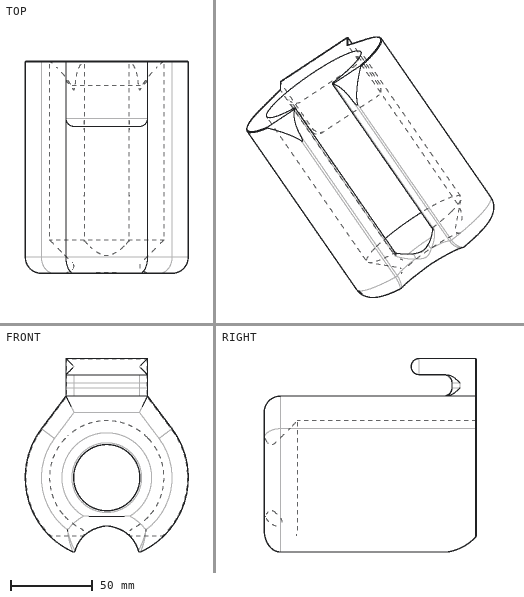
import cadquery as cq
import math

length = 130.0
body_radius = 50.0
flat_height = body_radius
flat_half_width = 25.0
front_round = 10.0
back_chamfer = 0.5

bore_radius = 35.0
cone_face_radius = 14.5
mouth_face_radius = 27.5
mouth_round = 10.0
mouth_lip_round = 3.0

channel_radius = 20.0
channel_axis_z = -body_radius
slot_edge_round = 3.0
tip_round = 1.0
heel_round = 30.0
heel_length = 22.5

hook_top = 73.0
hook_reach = 40.0
hook_thickness = 10.0
hook_round = 5.0
throat_floor = 15.0

margin = 20.0
near = 0.5


def flank_tangent_point():
    """Point where the straight flank from the flat's edge meets the round body."""
    edge_angle = math.atan2(flat_height, flat_half_width)
    edge_distance = math.hypot(flat_height, flat_half_width)
    angle = edge_angle - math.acos(body_radius / edge_distance)
    return body_radius * math.cos(angle), body_radius * math.sin(angle)


def revolve_along_y(sketch, axis_z):
    """Revolve a (radius, y) outline about a line parallel to Y at height axis_z."""
    return sketch.revolve(360, (0, 0, 0), (0, 1, 0)).translate((0, 0, axis_z))


def make_body():
    tangent_x, tangent_z = flank_tangent_point()
    body = (
        cq.Workplane("XZ")
        .moveTo(-flat_half_width, flat_height)
        .lineTo(flat_half_width, flat_height)
        .lineTo(tangent_x, tangent_z)
        .threePointArc((0, -body_radius), (-tangent_x, tangent_z))
        .close()
        .extrude(length)
    )
    return body.faces("<Y").edges().fillet(front_round)


def make_bore():
    """Bore, cone and mouth in one; a small lip joins the cone to the mouth's front round."""
    face_y = -length
    round_y = face_y + mouth_round
    cone_end_y = face_y + bore_radius - cone_face_radius

    centre_gap = mouth_round - mouth_lip_round
    cone_offset = (mouth_face_radius - mouth_round - cone_face_radius) * math.sqrt(0.5)
    touch_angle = math.pi / 4 + math.asin((cone_offset - mouth_lip_round) / centre_gap)
    cone_side_angle = 3 * math.pi / 4

    def round_point(centre, radius, angle):
        """Point on a round, with the angle measured from straight forward towards the axis."""
        return centre[0] - radius * math.sin(angle), centre[1] - radius * math.cos(angle)

    round_centre = (mouth_face_radius, round_y)
    lip_centre = round_point(round_centre, centre_gap, touch_angle)
    outline = (
        cq.Workplane("XY")
        .moveTo(0, face_y)
        .lineTo(mouth_face_radius, face_y)
        .threePointArc(
            round_point(round_centre, mouth_round, touch_angle / 2),
            round_point(round_centre, mouth_round, touch_angle),
        )
        .threePointArc(
            round_point(lip_centre, mouth_lip_round, (touch_angle + cone_side_angle) / 2),
            round_point(lip_centre, mouth_lip_round, cone_side_angle),
        )
        .lineTo(bore_radius, cone_end_y)
        .lineTo(bore_radius, 0)
        .lineTo(0, 0)
        .close()
    )
    return revolve_along_y(outline, 0)


def make_channel():
    face_radius = channel_radius + front_round
    diagonal = front_round * math.sqrt(0.5)
    outline = (
        cq.Workplane("XY")
        .moveTo(0, -length)
        .lineTo(face_radius, -length)
        .threePointArc(
            (face_radius - diagonal, -length + front_round - diagonal),
            (channel_radius, -length + front_round),
        )
        .lineTo(channel_radius, 0)
        .lineTo(0, 0)
        .close()
    )
    return revolve_along_y(outline, channel_axis_z)


def channel_crossing(radius):
    """Point (x, z) where the channel wall crosses a circle of the given radius about the bore axis."""
    z = (channel_radius**2 - radius**2 - channel_axis_z**2) / (-2 * channel_axis_z)
    return math.sqrt(radius**2 - z**2), z


def edges_at_crossing(radius):
    """Selector of both lengthwise edges at the channel's crossing with the given radius."""
    x, z = channel_crossing(radius)
    selectors = [
        cq.selectors.BoxSelector(
            (side * x - near, -length, z - near), (side * x + near, 0, z + near)
        )
        for side in (-1, 1)
    ]
    return selectors[0] + selectors[1]


def edge_at_slot_front():
    """Selector of the curved edge where the channel breaks into the bore's cone."""
    x, z = channel_crossing(bore_radius)
    channel_top = channel_axis_z + channel_radius
    front_y = -length - channel_top - cone_face_radius
    back_y = -length + bore_radius - cone_face_radius
    return cq.selectors.BoxSelector(
        (-x - near, front_y - near, z - near), (x + near, back_y + near, channel_top + near)
    )


def make_heel():
    """Waste outside a large round on the underside at the back end."""
    tip_z = channel_crossing(body_radius)[1]
    axis_z = tip_z + heel_round
    end_z = axis_z - math.sqrt(heel_round**2 - heel_length**2)
    half_angle = math.asin(heel_length / heel_round) / 2
    return (
        cq.Workplane("YZ")
        .moveTo(-heel_length, tip_z)
        .threePointArc(
            (
                heel_round * math.sin(half_angle) - heel_length,
                axis_z - heel_round * math.cos(half_angle),
            ),
            (0, end_z),
        )
        .lineTo(0, -body_radius - margin)
        .lineTo(-heel_length, -body_radius - margin)
        .close()
        .extrude(body_radius, both=True)
    )


def make_hook():
    hook_height = hook_top - flat_height
    block = (
        cq.Workplane("XY")
        .box(2 * flat_half_width, hook_reach, hook_height, centered=(True, False, False))
        .translate((0, -hook_reach, flat_height))
    )
    side_profile = (
        cq.Workplane("YZ")
        .moveTo(0, flat_height)
        .lineTo(0, hook_top)
        .lineTo(hook_round - hook_reach, hook_top)
        .threePointArc(
            (-hook_reach, hook_top - hook_round),
            (hook_round - hook_reach, hook_top - hook_thickness),
        )
        .lineTo(hook_round - hook_reach, flat_height)
        .close()
        .extrude(flat_half_width, both=True)
    )
    plan = block.edges("|Z and <Y").fillet(hook_round)
    return plan.intersect(side_profile).cut(make_throat())


def make_throat():
    """Hook opening: its back wall rounds off at both sides and is filleted above and below."""
    inner = flat_half_width - hook_round
    corner = hook_round * math.sqrt(0.5)
    arc_y = hook_round - throat_floor
    outer = flat_half_width + margin
    throat = (
        cq.Workplane("XY", origin=(0, 0, flat_height))
        .moveTo(-inner, -throat_floor)
        .lineTo(inner, -throat_floor)
        .threePointArc((inner + corner, arc_y - corner), (flat_half_width, arc_y))
        .lineTo(flat_half_width, 0)
        .lineTo(outer, 0)
        .lineTo(outer, -hook_reach - margin)
        .lineTo(-outer, -hook_reach - margin)
        .lineTo(-outer, 0)
        .lineTo(-flat_half_width, 0)
        .lineTo(-flat_half_width, arc_y)
        .threePointArc((-inner - corner, arc_y - corner), (-inner, -throat_floor))
        .close()
        .extrude(hook_top - hook_thickness - flat_height)
    )
    wall_box = cq.selectors.BoxSelector(
        (-flat_half_width - near, -throat_floor - near, flat_height - near),
        (flat_half_width + near, 0, hook_top),
    )
    return throat.edges(wall_box).edges("#Z").fillet(hook_round)


result = make_body().union(make_hook()).faces(">Y").edges().chamfer(back_chamfer)
result = result.cut(make_channel())
result = result.edges(edges_at_crossing(body_radius)).fillet(tip_round)
result = result.cut(make_bore())
result = result.edges(edges_at_crossing(bore_radius) + edge_at_slot_front()).fillet(slot_edge_round)
result = result.cut(make_heel())